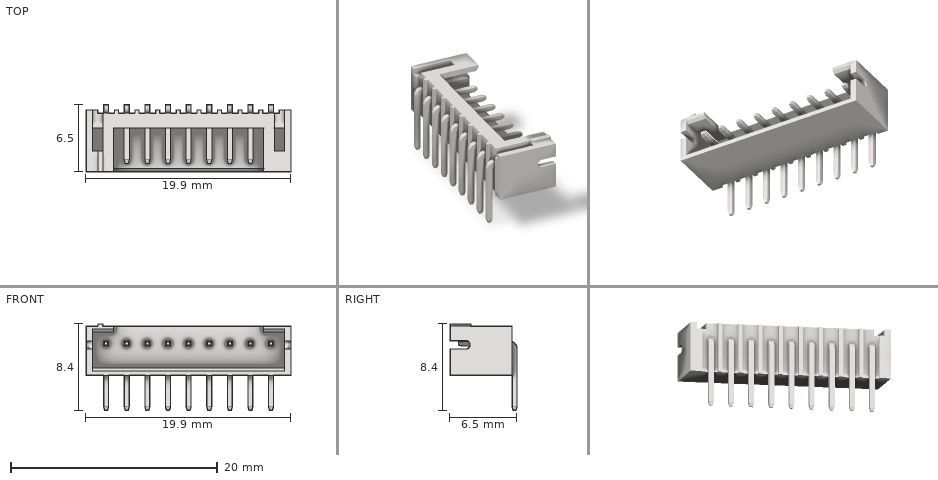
import cadquery as cq

width = 19.9
depth = 6.0
height = 4.8
side_wall = 0.64
top_wall = 0.6
bottom_wall = 0.72
back_wall = 1.75
lip_chamfer = 0.3
window_margin = 2.67

pin_count = 9
pin_span = 16.0
pin_pitch = pin_span / (pin_count - 1)
pin_size = 0.5
pin_drop = 1.71
pin_setback = 0.82
leg_length = 3.4
tip_length = 0.38
tip_size = 0.3
inner_bend_radius = pin_size / 2
outer_bend_radius = inner_bend_radius + pin_size

back_recess_depth = 0.32
back_recess_width = 1.6

slot_width = 1.0
slot_length = 3.98
key_width = 0.5
key_height = 0.2

notch_width = 0.8
notch_depth = 1.93
notch_drop = 1.83

pin_z = height - pin_drop
pin_xs = [-pin_span / 2 + i * pin_pitch for i in range(pin_count)]
cavity_left = -width / 2 + side_wall
cavity_depth = depth - back_wall
slot_inner_edge = cavity_left + slot_width


def box(x_range, y_range, z_range):
    """Axis-aligned box between pairs of limits."""
    (x0, x1), (y0, y1), (z0, z1) = x_range, y_range, z_range
    return cq.Workplane("XY").box(x1 - x0, y1 - y0, z1 - z0, centered=False).translate((x0, y0, z0))


def both_sides(left):
    """Left-hand shape together with its mirror image on the right."""
    return left.union(left.mirror("YZ"))


def cavity():
    """Mating cavity, flared by chamfers on the bottom and top lips of its mouth."""
    ceiling = height - top_wall
    return (
        cq.Workplane("YZ")
        .moveTo(0, bottom_wall - lip_chamfer)
        .lineTo(lip_chamfer, bottom_wall)
        .lineTo(cavity_depth, bottom_wall)
        .lineTo(cavity_depth, ceiling)
        .lineTo(lip_chamfer, ceiling)
        .lineTo(0, ceiling + lip_chamfer)
        .close()
        .extrude(width / 2 - side_wall, both=True)
    )


def top_window():
    """Opening through the top wall, over the middle of the cavity."""
    half_width = width / 2 - window_margin
    return box((-half_width, half_width), (0, cavity_depth), (height - top_wall - lip_chamfer, height))


def corner_slots():
    """Slots through the top wall that run out of the back face."""
    return both_sides(
        box((cavity_left, slot_inner_edge), (depth - slot_length, depth), (height - top_wall, height))
    )


def side_notches():
    """Round-ended notches open at the front of both side walls."""
    z = height - notch_drop
    radius = notch_width / 2
    arc_start = notch_depth - radius
    left = (
        cq.Workplane("YZ", origin=(-width / 2, 0, z))
        .moveTo(0, -radius)
        .lineTo(arc_start, -radius)
        .threePointArc((notch_depth, 0), (arc_start, radius))
        .lineTo(0, radius)
        .close()
        .extrude(side_wall)
    )
    return both_sides(left)


def back_recess(x):
    """Full-height recess in the back face around the pin at x."""
    half_width = back_recess_width / 2
    return box((x - half_width, x + half_width), (depth - back_recess_depth, depth), (0, height))


def polarity_key():
    """Raised rail on the top, from the front edge to the left corner slot."""
    return box(
        (slot_inner_edge - key_width, slot_inner_edge),
        (0, depth - slot_length),
        (height, height + key_height),
    )


def tapered_tip(plane):
    """Pin end tapering from the full section along the plane normal."""
    return plane.rect(pin_size, pin_size).workplane(offset=tip_length).rect(tip_size, tip_size).loft()


def pin(x):
    """Square pin bent down behind the housing, with tapered ends."""
    half = pin_size / 2
    straight_start = pin_setback + tip_length
    leg_end = tip_length - leg_length
    back = depth + pin_size
    contact = box((x - half, x + half), (straight_start, back), (pin_z - half, pin_z + half))
    leg = box((x - half, x + half), (depth, back), (leg_end, pin_z + half))
    bent = contact.union(leg)
    bent = bent.edges("|X and >Y and >Z").fillet(outer_bend_radius)
    inner_corner = cq.selectors.NearestToPointSelector((x, depth, pin_z - half))
    bent = bent.edges(inner_corner).fillet(inner_bend_radius)
    contact_tip = tapered_tip(cq.Workplane("XZ", origin=(x, straight_start, pin_z)))
    leg_plane = cq.Plane(origin=(x, depth + half, leg_end), xDir=(1, 0, 0), normal=(0, 0, -1))
    return bent.union(contact_tip).union(tapered_tip(cq.Workplane(leg_plane)))


result = box((-width / 2, width / 2), (0, depth), (0, height))
result = result.cut(cavity()).cut(top_window()).cut(corner_slots()).cut(side_notches())
for pin_x in pin_xs:
    result = result.cut(back_recess(pin_x))
result = result.union(polarity_key())
for pin_x in pin_xs:
    result = result.union(pin(pin_x))